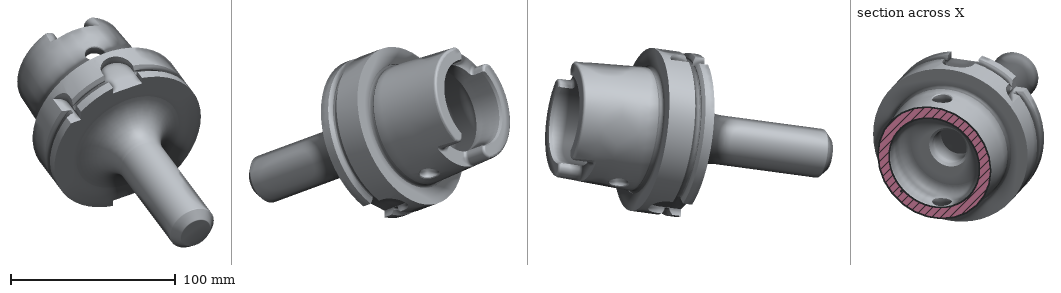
import cadquery as cq
import math

total_length = 170.0
relief_start = 47.3
flange_face = 50.0
flange_end = 79.0

flange_radius = 50.0
taper_end_radius = 37.9
taper_slope = 0.05
mouth_rounding = 1.7
shank_radius = 15.0
neck_radius = 20.0
tip_chamfer = 5.0
tip_rounding = 0.7

relief_radius = 37.4
relief_ramp = 0.8
relief_fillet = 1.9
relief_fillet_start = 49.1

groove_start = 66.6
groove_width = 6.6
groove_flank_depth = 2.7
groove_radius = 45.9
groove_corner = 0.7
flank_angle = math.radians(30)

bore_radius = 26.7
bore_chamfer_depth = 1.9
bore_chamfer = 0.7
bore_length = 20.0
undercut_radius = 31.6
undercut_end = 40.0
cavity_fillet = 6.8
thread_radius = 11.0
thread_chamfer = 1.5
thread_depth = 17.0

drive_half_width = 9.9
drive_shoulder = 31.8
drive_wall_rounding = 5.0
drive_floor_rounding = 1.9
upper_drive_depth = 9.9
lower_drive_depth = 14.8

key_half_width = 9.9
key_end_rounding = 9.7
key_floor = 44.5
notch_floor = 31.8
key_start = 54.9
notch_corner = 7.8

cross_hole_x = 35.0
cross_hole_radius = 6.0
cross_hole_chamfer = 0.5


def revolve_about_x(profile):
    return profile.close().revolve(360, (0, 0, 0), (1, 0, 0))


def outer_body():
    taper_start_radius = taper_end_radius - taper_slope * relief_start

    undercut_lip = relief_radius + relief_fillet
    undercut_depth = relief_fillet_start + relief_fillet

    groove_center = groove_start + groove_width / 2
    groove_wall = groove_width / 2 - groove_flank_depth * math.tan(flank_angle)
    flank_radius = flange_radius - groove_flank_depth
    groove_floor_half = groove_wall - groove_corner
    corner_top = groove_radius + groove_corner

    neck_end = flange_end + neck_radius
    neck_base = shank_radius + neck_radius
    neck_mid = neck_radius * math.sqrt(0.5)

    profile = (
        cq.Workplane("XY")
        .lineTo(0, taper_start_radius)
        .lineTo(relief_start, taper_end_radius)
        .lineTo(relief_start + relief_ramp, relief_radius)
        .lineTo(relief_fillet_start, relief_radius)
        .radiusArc((undercut_depth, undercut_lip), -relief_fillet)
        .lineTo(flange_face, undercut_lip)
        .lineTo(flange_face, flange_radius)
        .lineTo(groove_start, flange_radius)
        .lineTo(groove_center - groove_wall, flank_radius)
        .lineTo(groove_center - groove_wall, corner_top)
        .radiusArc((groove_center - groove_floor_half, groove_radius), -groove_corner)
        .lineTo(groove_center + groove_floor_half, groove_radius)
        .radiusArc((groove_center + groove_wall, corner_top), -groove_corner)
        .lineTo(groove_center + groove_wall, flank_radius)
        .lineTo(groove_start + groove_width, flange_radius)
        .lineTo(flange_end, flange_radius)
        .lineTo(flange_end, neck_base)
        .threePointArc((neck_end - neck_mid, neck_base - neck_mid), (neck_end, shank_radius))
        .lineTo(total_length - tip_chamfer, shank_radius)
        .lineTo(total_length, shank_radius - tip_chamfer)
        .lineTo(total_length, 0)
    )
    return revolve_about_x(profile)


def round_tip(body):
    """Soften both edges of the chamfer at the free end of the shank."""
    reach = 2 * shank_radius
    tip_box = cq.selectors.BoxSelector(
        (total_length - 2 * tip_chamfer, -reach, -reach),
        (total_length + tip_chamfer, reach, reach),
    )
    return body.edges(tip_box).edges("%CIRCLE").fillet(tip_rounding)


def clamping_cavity():
    shoulder_length = (undercut_radius - bore_radius) * math.tan(flank_angle)
    floor_x = undercut_end + cavity_fillet
    profile = (
        cq.Workplane("XY")
        .lineTo(0, bore_radius + bore_chamfer)
        .lineTo(bore_chamfer_depth, bore_radius)
        .lineTo(bore_length, bore_radius)
        .lineTo(bore_length + shoulder_length, undercut_radius)
        .lineTo(undercut_end, undercut_radius)
        .radiusArc((floor_x, undercut_radius - cavity_fillet), cavity_fillet)
        .lineTo(floor_x, thread_radius + thread_chamfer)
        .lineTo(floor_x + thread_chamfer, thread_radius)
        .lineTo(floor_x + thread_depth, thread_radius)
        .lineTo(floor_x + thread_depth, 0)
    )
    return revolve_about_x(profile)


def drive_slot(side, depth):
    """Mouth slot on the +Z or -Z side: straight walls that round over onto flat shoulders."""
    wall_top = drive_shoulder - drive_wall_rounding
    shoulder_start = drive_half_width + drive_wall_rounding
    reach = flange_radius
    slot = (
        cq.Workplane("YZ")
        .moveTo(-drive_half_width, 0)
        .lineTo(-drive_half_width, wall_top)
        .radiusArc((-shoulder_start, drive_shoulder), -drive_wall_rounding)
        .lineTo(-reach, drive_shoulder)
        .lineTo(-reach, reach)
        .lineTo(reach, reach)
        .lineTo(reach, drive_shoulder)
        .lineTo(shoulder_start, drive_shoulder)
        .radiusArc((drive_half_width, wall_top), -drive_wall_rounding)
        .lineTo(drive_half_width, 0)
        .close()
        .extrude(depth)
        .faces(">X")
        .edges()
        .fillet(drive_floor_rounding)
    )
    return slot if side > 0 else slot.mirror("XY")


def keyway(side):
    """Round-ended, flat-floored slot on the +Z or -Z side, open toward the shank."""
    length = flange_end - key_start
    height = flange_radius - key_floor
    slot = (
        cq.Workplane("XY")
        .box(2 * length, 2 * key_half_width, height, centered=(False, True, False))
        .edges("|Z and <X")
        .fillet(key_end_rounding)
        .translate((key_start, 0, key_floor))
    )
    return slot if side > 0 else slot.mirror("XY")


def corner_notch():
    """Notch in the -Y, +Z quarter of the flange, rounded at its closed end."""
    reach = flange_radius - notch_floor
    return (
        cq.Workplane("XY")
        .box(2 * (flange_end - key_start), reach, reach, centered=False)
        .edges("|Z and <X and >Y")
        .fillet(notch_corner)
        .translate((key_start, -flange_radius, notch_floor))
    )


def drill_cross_hole(body):
    """Through hole along Z, chamfered where it breaks out of the taper on both sides."""
    drill = cq.Workplane("XY").center(cross_hole_x, 0).circle(cross_hole_radius)
    body = body.cut(drill.extrude(flange_radius, both=True))
    for side in (1, -1):
        rim_middle = (cross_hole_x, 0, side * taper_end_radius)
        rim = cq.selectors.NearestToPointSelector(rim_middle)
        body = body.edges(rim).chamfer(cross_hole_chamfer)
    return body


result = round_tip(outer_body())
result = result.cut(drive_slot(1, upper_drive_depth)).cut(drive_slot(-1, lower_drive_depth))
result = result.faces("<X").edges().fillet(mouth_rounding)
result = drill_cross_hole(result.cut(clamping_cavity()))
result = result.cut(keyway(1)).cut(keyway(-1)).cut(corner_notch())